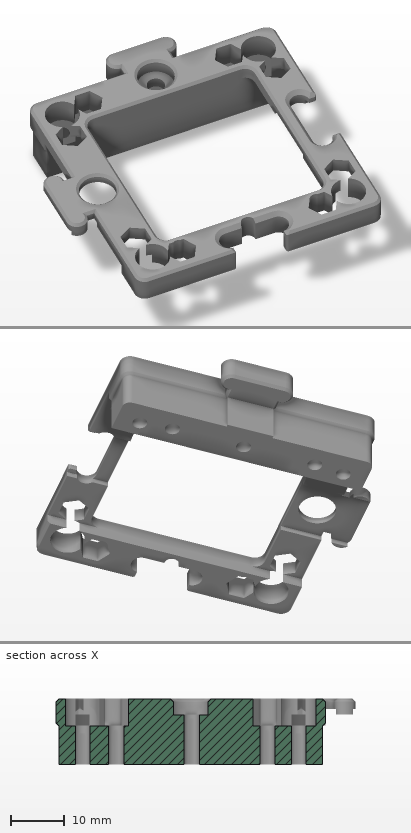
import cadquery as cq

frame = 50.05
rail_width = 8.0
corner_radius = 2.0
edge_chamfer = 0.5
opening = frame - 2 * rail_width
half = frame / 2
inner = opening / 2

top = 12.25
plate_thickness = 5.0
rail_thickness = 2.9
bridge_thickness = 1.9
bridge_width = 12.4
plate_bottom = top - plate_thickness
rail_bottom = top - rail_thickness
bridge_bottom = top - bridge_thickness

tongue_reach = 5.55
tongue_straight = 10.0
tongue_radius = 2.0

socket_radius = 1.95
socket_depth = 5.4
socket_straight = tongue_straight
socket_neck = 10.3
socket_flare = 0.8
lip_bevel = 0.3

round_pocket_diameter = 7.0
round_pocket_setback = 3.0
round_pocket_depth = rail_thickness
relief_diameter = 3.4
relief_depth = plate_thickness
round_pocket_offset = half - round_pocket_setback

seat_diameter = 6.5
seat_offset = 20.0
hexagon_corners = 5.85
hexagon_near = 14.4
hexagon_far = 20.8
corner_pocket_depth = plate_thickness

hole_diameter = 2.8
hole_columns = (-20.55, 19.45)
hole_pitch = 14.0
hole_y_middle = -0.2


def block(x_min, x_max, y_min, y_max, z_min, z_max):
    """Axis-aligned block between the given limits."""
    size = (x_max - x_min, y_max - y_min, z_max - z_min)
    return cq.Workplane("XY").box(*size, centered=False).translate((x_min, y_min, z_min))


def rounded_square(side, radius, z_min, z_max):
    """Square prism centred on the z axis with rounded vertical edges."""
    reach = side / 2
    return block(-reach, reach, -reach, reach, z_min, z_max).edges("|Z").fillet(radius)


def top_plane():
    """Sketch plane on the top face."""
    return cq.Workplane("XY").workplane(offset=top)


def swap_x_and_y(shape):
    """Mirror a shape across the vertical plane x = y."""
    return shape.mirror("XY").rotate((0, 0, 0), (1, 1, 0), 180)


def tongue():
    """Stadium-shaped tongue with its neck, on the -Y side."""
    centre_y = -half - tongue_reach + tongue_radius
    stadium = (
        top_plane()
        .center(0, centre_y)
        .slot2D(tongue_straight + 2 * tongue_radius, 2 * tongue_radius)
        .extrude(-plate_thickness)
    )
    neck_half = tongue_straight / 2
    neck = block(-neck_half, neck_half, centre_y, -inner, plate_bottom, top)
    return stadium.union(neck)


def plate():
    """Frame plate with both tongues and its rims chamfered."""
    square = rounded_square(frame, corner_radius, plate_bottom, top)
    body = square.union(tongue()).union(swap_x_and_y(tongue()))
    body = body.faces("<Z").edges().chamfer(edge_chamfer)
    sharp_rail = block(inner, half, -half, half - edge_chamfer, plate_bottom, top)
    body = body.union(square.intersect(sharp_rail))
    body = body.cut(rounded_square(opening, corner_radius, plate_bottom, top))
    return body.faces(">Z").edges().chamfer(edge_chamfer)


def leg():
    """Tall wall under the -X rail, set back by the plate chamfer, with a flush pad at the tongue."""
    wall = rounded_square(frame - 2 * edge_chamfer, corner_radius - edge_chamfer, 0, plate_bottom)
    wall = wall.intersect(block(-half, -inner, -half, half, 0, plate_bottom))
    pad_half = tongue_straight / 2 - edge_chamfer
    return wall.union(block(-half, -inner, -pad_half, pad_half, 0, plate_bottom))


def underside():
    """Space below the -Y and +Y rails, rising higher across the middle."""
    reach = half + tongue_reach
    bridge_half = bridge_width / 2
    space = block(-inner, inner, -reach, reach, 0, rail_bottom)
    return space.union(block(-bridge_half, bridge_half, -reach, reach, 0, bridge_bottom))


def socket():
    """Socket for a tongue, on the +Y side, with a flared top edge and bevelled lips."""
    centre_y = half - socket_depth + socket_radius
    mouth = socket_neck / 2

    def grown_outline(margin, depth, taper):
        """Socket outline grown by the margin at the top face and sunk to the depth."""
        radius = socket_radius + margin
        stadium = (
            top_plane()
            .center(0, centre_y)
            .slot2D(socket_straight + 2 * radius, 2 * radius)
            .extrude(-depth, taper=taper)
        )
        neck = (
            top_plane()
            .center(0, half)
            .rect(2 * (mouth + margin), 2 * (half - centre_y + margin))
            .extrude(-depth, taper=taper)
        )
        return stadium.union(neck)

    bevel = (
        cq.Workplane("XY")
        .moveTo(-mouth - lip_bevel, half)
        .lineTo(-mouth, half - lip_bevel)
        .lineTo(mouth, half - lip_bevel)
        .lineTo(mouth + lip_bevel, half)
        .close()
        .extrude(top)
    )
    walls = grown_outline(0, top, 0)
    flare = grown_outline(socket_flare, socket_flare, 45)
    return walls.union(flare).union(bevel)


def round_pocket(x, y):
    """Round pocket with a chamfered rim."""
    radius = round_pocket_diameter / 2
    bore = top_plane().center(x, y).circle(radius).extrude(-round_pocket_depth)
    rim = top_plane().center(x, y).circle(radius + edge_chamfer).extrude(-edge_chamfer, taper=45)
    return bore.union(rim)


def relief():
    """Smaller bore in the floor of the round pocket on the -X side."""
    bore = top_plane().center(-round_pocket_offset, 0).circle(relief_diameter / 2)
    return bore.extrude(-relief_depth)


def corner_grid(x, y):
    """The four mirrored points at the given distances from the frame centre."""
    return [(side_x * x, side_y * y) for side_x in (-1, 1) for side_y in (-1, 1)]


def corner_pockets():
    """Round seat and two hexagonal pockets in every corner."""
    seats = (
        top_plane()
        .pushPoints(corner_grid(seat_offset, seat_offset))
        .circle(seat_diameter / 2)
        .extrude(-corner_pocket_depth)
    )
    hexagons = (
        top_plane()
        .pushPoints(corner_grid(hexagon_near, hexagon_far))
        .polygon(6, hexagon_corners)
        .extrude(-corner_pocket_depth)
    )
    return seats.union(hexagons).union(swap_x_and_y(hexagons))


def screw_holes():
    """Through holes in the -X and +X rails and in the corner seats."""
    points = [(x, hole_y_middle + row * hole_pitch) for x in hole_columns for row in (-1, 0, 1)]
    points += corner_grid(seat_offset, seat_offset)
    return cq.Workplane("XY").pushPoints(points).circle(hole_diameter / 2).extrude(top)


result = plate().union(leg()).cut(underside())
result = result.cut(socket()).cut(swap_x_and_y(socket()))
result = result.cut(round_pocket(-round_pocket_offset, 0)).cut(round_pocket(0, -round_pocket_offset))
result = result.cut(relief()).cut(corner_pockets()).cut(screw_holes())